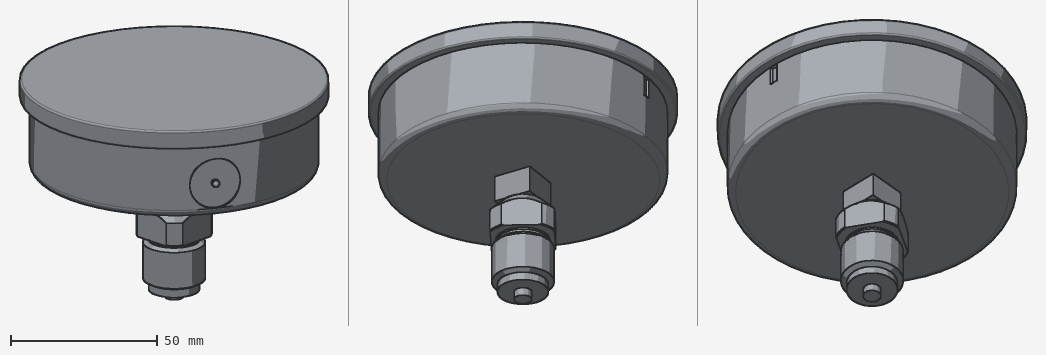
import cadquery as cq
import math

tip_top = 2.91
pilot_top = 5.8
thread_bottom = 6.9
thread_top = 20.0
relief_bottom = 21.0
relief_top = 21.6
neck_flare_bottom = 22.5
wrench_bottom = 23.1
wrench_shoulder = 31.5
wrench_top = 37.1
case_bottom = 46.8
bezel_bottom = 72.9
bezel_top = 79.6

tip_diameter = 6.0
pilot_diameter = 17.5
thread_diameter = 21.4
neck_diameter = 18.0
neck_flare = 0.3

wrench_diameter = 26.0
wrench_across_flats = 22.0
wrench_angle = 29.0
wrench_edge_chamfer = 0.3
stem_width = 14.0

case_diameter = 99.0
case_fillet = 2.8
bezel_diameter = 105.8
bezel_fillet = 0.6

vent_height = 58.5
vent_diameter = 18.0
vent_floor = 48.6
pin_diameter = 2.5
pin_shoulder = 49.9
pin_end = 51.3
pin_embed = 1.1

slot_width = 3.1
slot_bottom = 65.2
slot_top = 72.7
slot_depth = 0.7
slot_wall_inset = 0.4


def cylinder(diameter, bottom, top):
    return cq.Workplane("XY").workplane(offset=bottom).circle(diameter / 2).extrude(top - bottom)


def revolved(profile):
    """Revolve (radius, height) points about the Z axis."""
    return cq.Workplane("XZ").polyline(profile).close().revolve(360, (0, 0), (0, 1))


def make_connection():
    tip = tip_diameter / 2
    pilot = pilot_diameter / 2
    thread = thread_diameter / 2
    neck = neck_diameter / 2
    relief = pilot_diameter / 2
    return revolved([
        (0, 0),
        (tip, 0),
        (tip, tip_top),
        (pilot, tip_top),
        (pilot, pilot_top),
        (thread, thread_bottom),
        (thread, thread_top),
        (relief, relief_bottom),
        (neck, relief_top),
        (neck, neck_flare_bottom),
        (neck + neck_flare, wrench_bottom),
        (0, wrench_bottom),
    ])


def make_wrench_square():
    """Round blank with a conical top, trimmed by four flats."""
    radius = wrench_diameter / 2
    cone_top_radius = radius - (wrench_top - wrench_shoulder)
    blank = revolved([
        (0, wrench_bottom),
        (radius - wrench_edge_chamfer, wrench_bottom),
        (radius, wrench_bottom + wrench_edge_chamfer),
        (radius, wrench_shoulder),
        (cone_top_radius, wrench_top),
        (0, wrench_top),
    ])
    flats = (
        cq.Workplane("XY").workplane(offset=wrench_bottom)
        .rect(wrench_across_flats, wrench_across_flats)
        .extrude(wrench_top - wrench_bottom)
        .rotate((0, 0, 0), (0, 0, 1), wrench_angle)
    )
    return blank.intersect(flats)


def make_stem():
    return (
        cq.Workplane("XY").workplane(offset=wrench_top)
        .rect(stem_width, stem_width)
        .extrude(case_bottom - wrench_top)
    )


def make_housing():
    case = cylinder(case_diameter, case_bottom, bezel_bottom).faces("<Z").edges().fillet(case_fillet)
    bezel = cylinder(bezel_diameter, bezel_bottom, bezel_top).edges("%CIRCLE").fillet(bezel_fillet)
    return case.union(bezel)


def make_vent_recess():
    return (
        cq.Workplane("YZ", origin=(vent_floor, 0, vent_height))
        .circle(vent_diameter / 2)
        .extrude(case_diameter / 2 - vent_floor)
    )


def make_pin():
    """Pointed pin along X, rooted below the floor of the vent recess."""
    radius = pin_diameter / 2
    root = vent_floor - pin_embed
    return (
        cq.Workplane("XY", origin=(0, 0, vent_height))
        .polyline([(root, 0), (root, radius), (pin_shoulder, radius), (pin_end, 0)])
        .close()
        .revolve(360, (0, 0), (1, 0))
    )


def make_slot():
    height = slot_top - slot_bottom
    taper = math.degrees(math.atan(slot_wall_inset / slot_depth))
    return (
        cq.Workplane("YZ", origin=(-case_diameter / 2, 0, slot_bottom + height / 2))
        .rect(slot_width, height)
        .extrude(slot_depth, taper=taper)
    )


result = (
    make_housing()
    .cut(make_vent_recess())
    .cut(make_slot())
    .union(make_pin())
    .union(make_stem())
    .union(make_wrench_square())
    .union(make_connection())
)